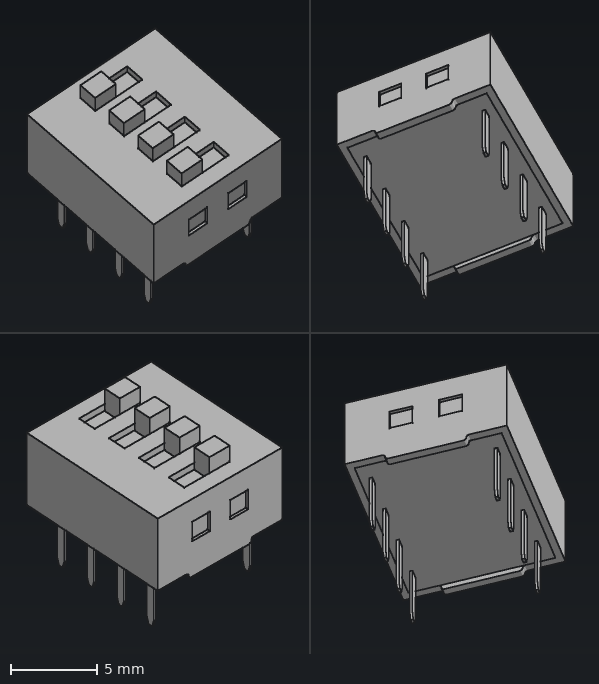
import cadquery as cq
import math

LENGTH = 11.16
WIDTH = 9.9
HEIGHT = 5.31

WAYS = 4
WAYS_SPAN = 7.62
PITCH = WAYS_SPAN / (WAYS - 1)
WAY_X = [(way - (WAYS - 1) / 2) * PITCH for way in range(WAYS)]

WALL = 0.47
ROOF = 0.5
SLOT_WIDTH = 1.33
SLOT_LENGTH = 3.63

FOOT_HEIGHT = 0.4
FOOT_LENGTH = 4.95
FOOT_RADIUS = FOOT_HEIGHT / 2

WINDOW_SIZE = 1.43
WINDOW_SPACING = 3.04
WINDOW_CENTRE_Z = 2.92
WINDOW_RECESS = 0.2

SLIDER_WIDTH = 1.28
SLIDER_LENGTH = 1.61
SLIDER_RISE = 1.15

PIN_LENGTH = 4.08
PIN_WIDTH = 0.59
PIN_THICKNESS = 0.18
PIN_TIP_WIDTH = 0.3
PIN_TIP_LENGTH = 0.5
PIN_ROW_SPACING = 7.62

CAVITY_LENGTH = LENGTH - 2 * WALL
CAVITY_WIDTH = WIDTH - 2 * WALL
CAVITY_HEIGHT = HEIGHT - ROOF


def block(size_x, size_y, size_z, x=0.0, y=0.0, z=0.0):
    """Box centred on (x, y) with its underside at z."""
    return cq.Workplane("XY").box(size_x, size_y, size_z, centered=(True, True, False)).translate((x, y, z))


def make_foot(side):
    """Standoff foot under one end wall, with S-curved ends made of two quarter arcs."""
    half = FOOT_LENGTH / 2
    r = FOOT_RADIUS
    arc_step = r * (1 - math.cos(math.radians(45)))
    return (
        cq.Workplane("YZ")
        .moveTo(-half - r, 0)
        .threePointArc((-half - arc_step, -arc_step), (-half, -r))
        .threePointArc((-half + arc_step, -FOOT_HEIGHT + arc_step), (-half + r, -FOOT_HEIGHT))
        .lineTo(half - r, -FOOT_HEIGHT)
        .threePointArc((half - arc_step, -FOOT_HEIGHT + arc_step), (half, -r))
        .threePointArc((half + arc_step, -arc_step), (half + r, 0))
        .close()
        .extrude(WALL / 2, both=True)
        .translate((side * (LENGTH - WALL) / 2, 0, 0))
    )


def end_wall_blocks(depth, outer_x):
    """Window-sized blocks reaching inward by depth from outer_x, two in each end wall."""
    blocks = []
    for side in (-1, 1):
        for y in (-WINDOW_SPACING / 2, WINDOW_SPACING / 2):
            x = side * (outer_x - depth / 2)
            z = WINDOW_CENTRE_Z - WINDOW_SIZE / 2
            blocks.append(block(depth, WINDOW_SIZE, WINDOW_SIZE, x, y, z))
    return blocks


def make_cover():
    """Open-bottomed shell with feet, slots through the roof and windows through the end walls."""
    cover = block(LENGTH, WIDTH, HEIGHT)
    for side in (-1, 1):
        cover = cover.union(make_foot(side))
    cover = cover.cut(block(CAVITY_LENGTH, CAVITY_WIDTH, CAVITY_HEIGHT))
    for x in WAY_X:
        cover = cover.cut(block(SLOT_WIDTH, SLOT_LENGTH, ROOF, x, 0, CAVITY_HEIGHT))
    for window in end_wall_blocks(WALL, LENGTH / 2):
        cover = cover.cut(window)
    return cover


def make_pin(x, y):
    """Flat pin hanging from the underside of the base, tapered at its tip."""
    half = PIN_WIDTH / 2
    half_tip = PIN_TIP_WIDTH / 2
    taper_z = PIN_TIP_LENGTH - PIN_LENGTH
    outline = [
        (-half, 0),
        (-half, taper_z),
        (-half_tip, -PIN_LENGTH),
        (half_tip, -PIN_LENGTH),
        (half, taper_z),
        (half, 0),
    ]
    pin = cq.Workplane("XZ").polyline(outline).close().extrude(PIN_THICKNESS / 2, both=True)
    return pin.translate((x, y, 0))


def make_base():
    """Block filling the cover cavity, with latches in the windows and two rows of pins."""
    base = block(CAVITY_LENGTH, CAVITY_WIDTH, CAVITY_HEIGHT)
    for latch in end_wall_blocks(WALL - WINDOW_RECESS, LENGTH / 2 - WINDOW_RECESS):
        base = base.union(latch)
    for x in WAY_X:
        for y in (-PIN_ROW_SPACING / 2, PIN_ROW_SPACING / 2):
            base = base.union(make_pin(x, y))
    return base


def make_slider(x):
    """Slider standing on the base at the -Y end of its slot."""
    y = (SLIDER_LENGTH - SLOT_LENGTH) / 2
    return block(SLIDER_WIDTH, SLIDER_LENGTH, ROOF + SLIDER_RISE, x, y, CAVITY_HEIGHT)


cover = make_cover()
base = make_base()
sliders = [make_slider(x) for x in WAY_X]

result = cq.Compound.makeCompound([cover.val(), base.val(), *[slider.val() for slider in sliders]])